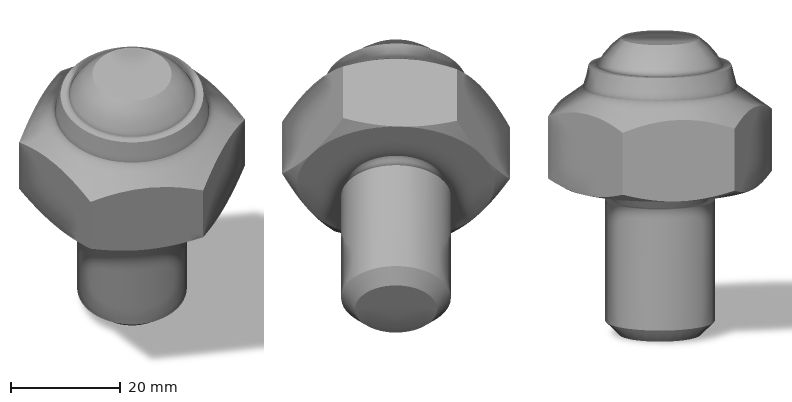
import cadquery as cq
import math

total_height = 55.0
shank_top = 25.0
hex_bottom = 28.0
collar_bottom = 46.0
collar_top = 50.0

shank_radius = 20.0 / 2
neck_radius = 17.5 / 2
tip_chamfer = 2.55

across_flats = 36.0
across_corners = across_flats / math.cos(math.radians(30))
corner_radius = across_corners / 2
top_cone_angle = 36.0
bottom_cone_angle = 30.0

collar_bottom_radius = 14.1
collar_top_radius = 13.05
ball_base_radius = 11.5
ball_flat_radius = 7.2


def make_shank():
    """Chamfered shank with a narrower neck reaching the hexagon."""
    shank = cq.Workplane("XY").circle(shank_radius).extrude(shank_top).faces("<Z").chamfer(tip_chamfer)
    neck = (
        cq.Workplane("XY").workplane(offset=shank_top)
        .circle(neck_radius).extrude(hex_bottom - shank_top)
    )
    return shank.union(neck)


def make_hexagon():
    """Hexagon with corners on the Y axis, trimmed by a cone at each end."""
    hexagon = (
        cq.Workplane("XY").workplane(offset=hex_bottom)
        .transformed(rotate=(0, 0, 90))
        .polygon(6, across_corners)
        .extrude(collar_bottom - hex_bottom)
    )
    envelope_radius = corner_radius + 0.55
    bottom_flat_radius = across_flats / 2
    bottom_rise = (envelope_radius - bottom_flat_radius) * math.tan(math.radians(bottom_cone_angle))
    top_drop = (envelope_radius - collar_bottom_radius) * math.tan(math.radians(top_cone_angle))
    envelope = (
        cq.Workplane("XZ")
        .moveTo(0, hex_bottom)
        .lineTo(bottom_flat_radius, hex_bottom)
        .lineTo(envelope_radius, hex_bottom + bottom_rise)
        .lineTo(envelope_radius, collar_bottom - top_drop)
        .lineTo(collar_bottom_radius, collar_bottom)
        .lineTo(0, collar_bottom)
        .close()
        .revolve(360, (0, 0, 0), (0, 1, 0))
    )
    return hexagon.intersect(envelope)


def make_head():
    """Tapered collar holding a ball with a flat top."""
    ball_height = total_height - collar_top
    base_rise = (ball_base_radius**2 - ball_flat_radius**2 - ball_height**2) / (2 * ball_height)
    ball_radius = math.hypot(ball_base_radius, base_rise)
    middle_height = ball_height / 2
    middle_radius = math.sqrt(ball_radius**2 - (base_rise + middle_height) ** 2)
    return (
        cq.Workplane("XZ")
        .moveTo(0, collar_bottom)
        .lineTo(collar_bottom_radius, collar_bottom)
        .lineTo(collar_top_radius, collar_top)
        .lineTo(ball_base_radius, collar_top)
        .threePointArc((middle_radius, collar_top + middle_height), (ball_flat_radius, total_height))
        .lineTo(0, total_height)
        .close()
        .revolve(360, (0, 0, 0), (0, 1, 0))
    )


result = make_shank().union(make_hexagon()).union(make_head())